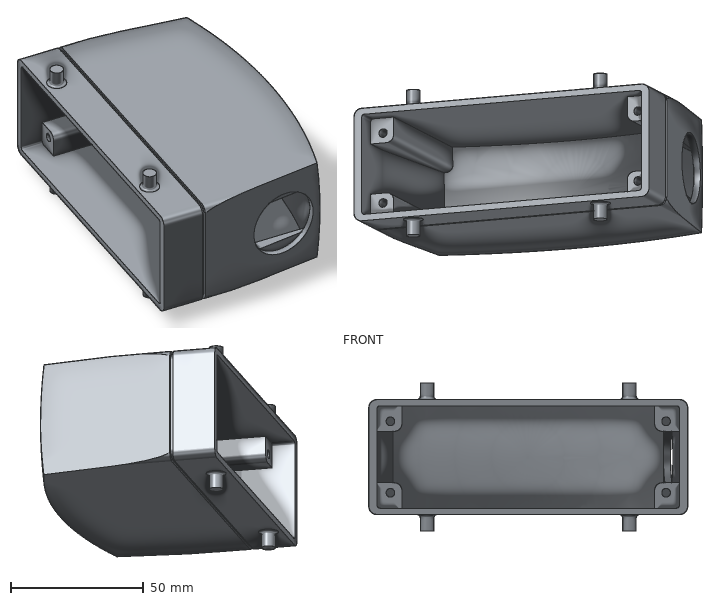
import cadquery as cq

LENGTH = 120.5
DEPTH = 77.6
THICKNESS = 43.5
PIN_SPAN = 56.0

END_WALL = 3.1
SIDE_WALL = 2.4
ROOF_WALL = 3.1
CAVITY_TAPER_START = 20.8
OUTER_CORNER_RADIUS = 3.1
INNER_CORNER_RADIUS = 1.2
ROOF_RADIUS = 189.2
ROOF_END_HALF_LENGTH = 53.4
ROOF_END_DEPTH = 69.8

RIM_BAND = 16.4
GROOVE_WIDTH = 1.2
GROOVE_END_INSET = 1.1
GROOVE_SIDE_INSET = 1.0

ENTRY_DIAMETER = 27.0
ENTRY_DEPTH = 53.3
ENTRY_CUT_START = 42.2

POST_LENGTH = 9.4
POST_WIDTH = 9.6
POST_CORNER_RADIUS = 2.9
POST_RECESS = 8.9
SCREW_HOLE_DIAMETER = 3.3
SCREW_HOLE_DEPTH = 12.0
SCREW_X = 52.0
SCREW_Z = 13.5

PIN_DIAMETER = 5.2
PIN_FOOT_RADIUS = 1.2
PIN_X = 38.2
PIN_Y = 5.3

TAPER_START = RIM_BAND + GROOVE_WIDTH
CAVITY_LENGTH = LENGTH - 2 * END_WALL
CAVITY_THICKNESS = THICKNESS - 2 * SIDE_WALL
ROOF_CENTER_Y = DEPTH - ROOF_RADIUS
TAPER_SLOPE = (LENGTH / 2 - ROOF_END_HALF_LENGTH) / (ROOF_END_DEPTH - TAPER_START)
PIN_HEIGHT = (PIN_SPAN - THICKNESS) / 2


def rounded_prism(length, thickness, corner_radius, start, end):
    """Rectangular prism along Y with its four long edges rounded."""
    return (
        cq.Workplane("XZ", origin=(0, start, 0))
        .rect(length, thickness)
        .extrude(start - end)
        .edges("|Y")
        .fillet(corner_radius)
    )


def domed_block(length, thickness, corner_radius, taper_start, roof_radius):
    """Block that is straight up to taper_start, then narrows to a spherical roof."""
    half_length = length / 2
    half_length_at_top = half_length - TAPER_SLOPE * (DEPTH - taper_start)
    tapered_outline = (
        cq.Workplane("XY", origin=(0, 0, -thickness / 2))
        .polyline(
            [
                (-half_length, 0),
                (half_length, 0),
                (half_length, taper_start),
                (half_length_at_top, DEPTH),
                (-half_length_at_top, DEPTH),
                (-half_length, taper_start),
            ]
        )
        .close()
        .extrude(thickness)
    )
    roof_ball = (
        cq.Workplane("XY")
        .moveTo(0, ROOF_CENTER_Y - roof_radius)
        .threePointArc((roof_radius, ROOF_CENTER_Y), (0, ROOF_CENTER_Y + roof_radius))
        .close()
        .revolve(360, (0, 0, 0), (0, 1, 0))
    )
    block = rounded_prism(length, thickness, corner_radius, 0, DEPTH)
    return block.intersect(tapered_outline).intersect(roof_ball)


def make_cavity():
    """Space inside the hood, open at the rim."""
    return domed_block(
        CAVITY_LENGTH,
        CAVITY_THICKNESS,
        INNER_CORNER_RADIUS,
        CAVITY_TAPER_START,
        ROOF_RADIUS - ROOF_WALL,
    )


def make_groove():
    """Ring of material removed around the outside above the rim band."""
    core = rounded_prism(
        LENGTH - 2 * GROOVE_END_INSET,
        THICKNESS - 2 * GROOVE_SIDE_INSET,
        OUTER_CORNER_RADIUS,
        RIM_BAND,
        TAPER_START,
    )
    ring = cq.Workplane("XZ", origin=(0, RIM_BAND, 0)).rect(LENGTH, THICKNESS).extrude(-GROOVE_WIDTH)
    return ring.cut(core)


def make_cable_entry():
    """Round opening along X that runs from the cavity out through the +X wall."""
    return (
        cq.Workplane("YZ", origin=(ENTRY_CUT_START, ENTRY_DEPTH, 0))
        .circle(ENTRY_DIAMETER / 2)
        .extrude(LENGTH / 2 - ENTRY_CUT_START)
    )


def make_hood():
    """Hollow one-piece shell with its outside groove and cable entry."""
    outside = domed_block(LENGTH, THICKNESS, OUTER_CORNER_RADIUS, TAPER_START, ROOF_RADIUS)
    return outside.cut(make_cavity()).cut(make_groove()).cut(make_cable_entry())


def make_post(x_side, z_side):
    """Screw post with a blind hole, filling one cavity corner from its recessed face to the roof."""
    post = (
        cq.Workplane("XY")
        .box(POST_LENGTH, DEPTH - POST_RECESS, POST_WIDTH)
        .translate(
            (
                x_side * (CAVITY_LENGTH - POST_LENGTH) / 2,
                (DEPTH + POST_RECESS) / 2,
                z_side * (CAVITY_THICKNESS - POST_WIDTH) / 2,
            )
        )
    )
    inner_edge = post.faces("<X" if x_side > 0 else ">X").edges("<Z" if z_side > 0 else ">Z")
    post = inner_edge.fillet(POST_CORNER_RADIUS).intersect(make_cavity())
    screw_hole = (
        cq.Workplane("XZ", origin=(x_side * SCREW_X, POST_RECESS, z_side * SCREW_Z))
        .circle(SCREW_HOLE_DIAMETER / 2)
        .extrude(-SCREW_HOLE_DEPTH)
    )
    return post.cut(screw_hole)


def make_pin(x_side, z_side):
    """Locking pin that stands on a wide face of the hood, with a concave flare at its foot."""
    pin_radius = PIN_DIAMETER / 2
    foot_radius = pin_radius + PIN_FOOT_RADIUS
    flare_inset = PIN_FOOT_RADIUS * (1 - 0.5**0.5)
    pin = (
        cq.Workplane("XZ")
        .lineTo(foot_radius, 0)
        .threePointArc((pin_radius + flare_inset, flare_inset), (pin_radius, PIN_FOOT_RADIUS))
        .lineTo(pin_radius, PIN_HEIGHT)
        .lineTo(0, PIN_HEIGHT)
        .close()
        .revolve(360, (0, 0, 0), (0, 1, 0))
        .translate((x_side * PIN_X, PIN_Y, THICKNESS / 2))
    )
    return pin if z_side > 0 else pin.mirror("XY")


hood = make_hood()
corners = [(x_side, z_side) for x_side in (-1, 1) for z_side in (-1, 1)]
posts = [make_post(x_side, z_side).solids().val() for x_side, z_side in corners]
pins = [make_pin(x_side, z_side).val() for x_side, z_side in corners]

result = cq.Compound.makeCompound([hood.solids().val(), *posts, *pins])